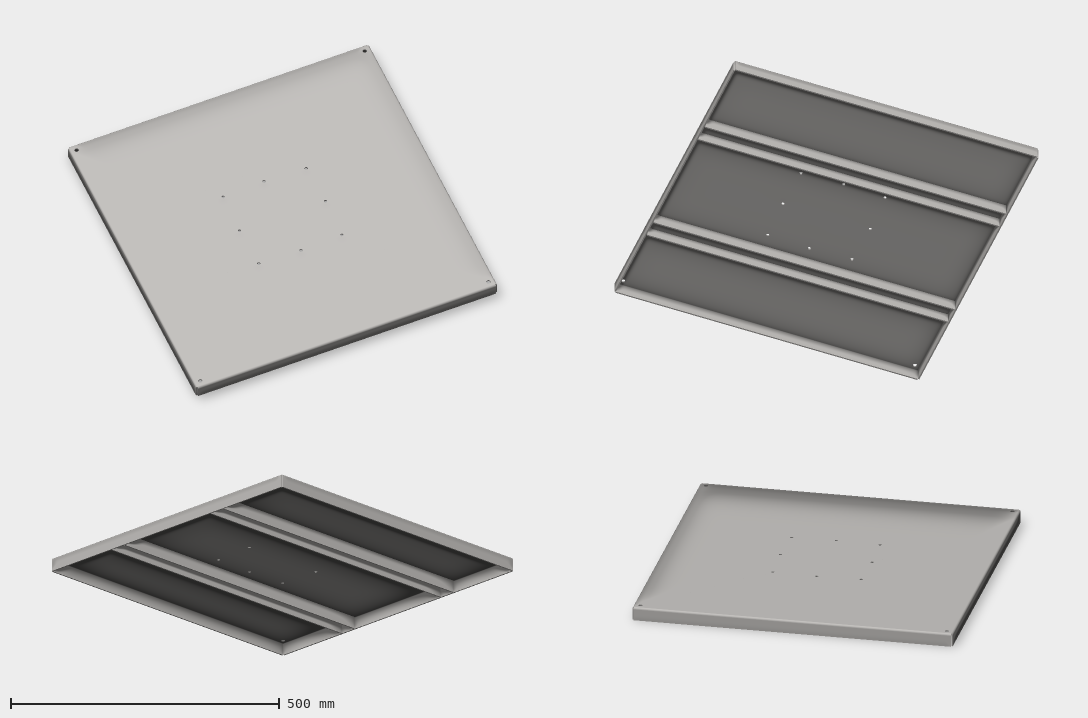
import cadquery as cq

side = 609.5
height = 25.5
sheet = 2.7
bend_radius = 3.9
corner_relief = 3.0
inner_bend_radius = bend_radius - sheet
flat_side = side - 2 * bend_radius

corner_hole_diameter = 8.0
corner_hole_spacing = 583.5
mount_hole_diameter = 6.0
mount_square_spacing = 168.0
mount_cross_radius = 87.0

channel_width = 36.5
channel_height = height - sheet
channel_offset = 130.5


def centered_block(size_x, size_y, size_z):
    """Block centred on the Z axis and standing on Z = 0."""
    return cq.Workplane("XY").box(size_x, size_y, size_z, centered=(True, True, False))


def make_tray_shell():
    """Square tray with rounded top bends and one wall thickness throughout."""
    outside = centered_block(side, side, height).faces(">Z").edges().fillet(bend_radius)
    inner_side = side - 2 * sheet
    inside = centered_block(inner_side, inner_side, height - sheet)
    inside = inside.faces(">Z").edges().fillet(inner_bend_radius)
    return outside.cut(inside)


def cut_corner_reliefs(tray):
    """Square notches that separate the four folded walls."""
    reliefs = (
        cq.Workplane("XY")
        .rect(side - corner_relief, side - corner_relief, forConstruction=True)
        .vertices()
        .rect(corner_relief, corner_relief)
        .extrude(height)
    )
    return tray.cut(reliefs)


def square_pattern(spacing):
    """Four points on the corners of a square."""
    half = spacing / 2
    return [(x, y) for x in (-half, half) for y in (-half, half)]


def cut_holes(tray, points, diameter):
    """Round holes straight through the top sheet."""
    drills = cq.Workplane("XY").pushPoints(points).circle(diameter / 2).extrude(height)
    return tray.cut(drills)


def make_tray():
    tray = cut_corner_reliefs(make_tray_shell())
    tray = cut_holes(tray, square_pattern(corner_hole_spacing), corner_hole_diameter)
    tray = cut_holes(tray, square_pattern(mount_square_spacing), mount_hole_diameter)
    cross_points = [
        (mount_cross_radius, 0),
        (-mount_cross_radius, 0),
        (0, mount_cross_radius),
        (0, -mount_cross_radius),
    ]
    return cut_holes(tray, cross_points, mount_hole_diameter)


def make_channel(offset):
    """Channel open at the bottom, running along Y against the top sheet."""
    outside = centered_block(channel_width, flat_side, channel_height)
    inside = centered_block(channel_width - 2 * sheet, flat_side, channel_height - sheet)
    return outside.cut(inside).translate((offset, 0, 0))


tray = make_tray()
channels = [make_channel(offset) for offset in (-channel_offset, channel_offset)]

result = cq.Compound.makeCompound([tray.val(), *[channel.val() for channel in channels]])